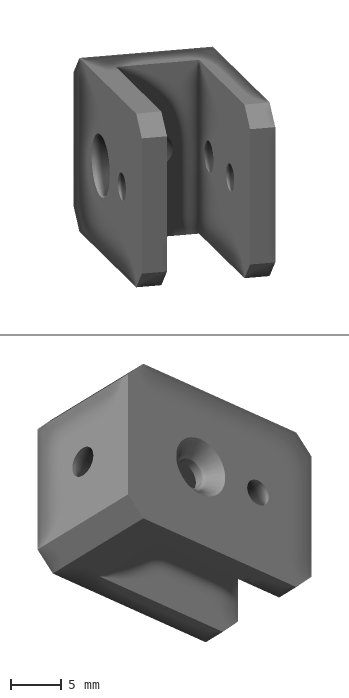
import cadquery as cq

length = 24.0
width = 13.8
height = 18.0
corner_chamfer = 2.0

web_thickness = 6.0
slot_width = 8.6

pivot_x = 9.5
pivot_diameter = 3.2
countersink_diameter = 6.4
pin_x = 17.0
pin_diameter = 2.8
web_hole_diameter = 3.2


def make_fork():
    """Block with chamfered corners and a slot open towards +X."""
    block = cq.Workplane("XY").box(length, width, height, centered=(False, True, True))
    block = block.edges("|Y").chamfer(corner_chamfer)
    slot = (
        cq.Workplane("XY")
        .box(length - web_thickness, slot_width, height, centered=(False, True, True))
        .translate((web_thickness, 0, 0))
    )
    return block.cut(slot)


def cross_hole(x, diameter):
    """Cutter along Y through both arms."""
    return cq.Workplane("XZ").center(x, 0).circle(diameter / 2).extrude(width / 2, both=True)


def front_countersink():
    """Conical cutter with 45 degree walls, narrowing inwards from the -Y face."""
    wall_slope = 45
    depth = (countersink_diameter - pivot_diameter) / 2
    return (
        cq.Workplane("XZ", origin=(pivot_x, -width / 2, 0))
        .circle(countersink_diameter / 2)
        .extrude(-depth, taper=wall_slope)
    )


web_hole = cq.Workplane("YZ").circle(web_hole_diameter / 2).extrude(web_thickness)

result = (
    make_fork()
    .cut(cross_hole(pivot_x, pivot_diameter))
    .cut(front_countersink())
    .cut(cross_hole(pin_x, pin_diameter))
    .cut(web_hole)
)